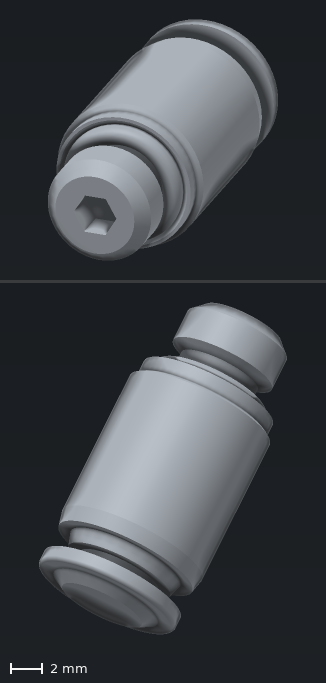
import cadquery as cq
import math

body_radius = 4.9
collar_radius = 4.5
thread_radius = 3.47
neck_radius = 2.67
tip_radius = 2.65
shoulder_radius = 4.67
sleeve_base_radius = 3.84
sleeve_end_radius = 3.55
stem_radius = 2.73
button_radius = 4.75
button_cone_radius = 3.65
button_end_radius = 2.77

thread_start = 0.82
thread_end = 2.95
neck_start = 3.4
collar_face = 5.0
collar_end = 5.98
body_start = 6.25
body_end = 16.01
shoulder_end = 17.0
sleeve_end = 17.91
flare_start = 18.4
button_inner_face = 18.87
button_outer_face = 19.85
total_length = 20.4

button_edge_radius = 0.29
flare_radius = button_inner_face - flare_start

ring_outer_radius = 3.98
ring_section_radius = (ring_outer_radius - neck_radius) / 2
ring_center_radius = neck_radius + ring_section_radius
seat_mouth_radius = 4.28
seat_floor_radius = 3.88
seat_depth = 0.3

socket_across_flats = 2.5
socket_depth = 2.05


def make_turned_body():
    arc_inset = 1 - math.sqrt(0.5)
    edge_inset = button_edge_radius * arc_inset
    flare_inset = flare_radius * arc_inset
    profile = (
        cq.Workplane("XY")
        .lineTo(tip_radius, 0)
        .lineTo(thread_radius, thread_start)
        .lineTo(thread_radius, thread_end)
        .lineTo(neck_radius, neck_start)
        .lineTo(neck_radius, collar_face)
        .lineTo(collar_radius, collar_face)
        .lineTo(collar_radius, collar_end)
        .lineTo(body_radius, body_start)
        .lineTo(body_radius, body_end)
        .lineTo(shoulder_radius, shoulder_end)
        .lineTo(sleeve_base_radius, shoulder_end)
        .lineTo(sleeve_end_radius, sleeve_end)
        .lineTo(stem_radius, sleeve_end)
        .lineTo(stem_radius, flare_start)
        .threePointArc(
            (stem_radius + flare_inset, button_inner_face - flare_inset),
            (stem_radius + flare_radius, button_inner_face),
        )
        .lineTo(button_radius, button_inner_face)
        .lineTo(button_radius, button_outer_face - button_edge_radius)
        .threePointArc(
            (button_radius - edge_inset, button_outer_face - edge_inset),
            (button_radius - button_edge_radius, button_outer_face),
        )
        .lineTo(button_cone_radius, button_outer_face)
        .lineTo(button_end_radius, total_length)
        .lineTo(0, total_length)
        .close()
    )
    return profile.revolve(360, (0, 0), (0, 1))


def make_ring_seat():
    """Tapered recess around the neck in the collar face."""
    profile = cq.Workplane("XY").polyline([
        (neck_radius, collar_face),
        (seat_mouth_radius, collar_face),
        (seat_floor_radius, collar_face + seat_depth),
        (neck_radius, collar_face + seat_depth),
    ]).close()
    return profile.revolve(360, (0, 0), (0, 1))


def make_sealing_ring():
    profile = cq.Workplane("XY").center(ring_center_radius, collar_face).circle(ring_section_radius)
    return profile.revolve(360, (-ring_center_radius, 0), (-ring_center_radius, 1))


def make_socket():
    across_corners = socket_across_flats / math.cos(math.pi / 6)
    return cq.Workplane("XZ").polygon(6, across_corners).extrude(-socket_depth)


result = make_turned_body().cut(make_ring_seat()).union(make_sealing_ring()).cut(make_socket())